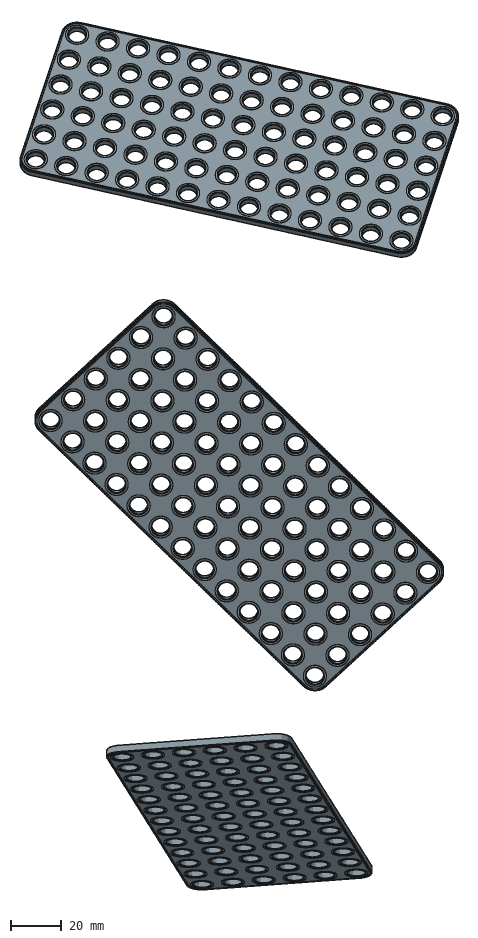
import cadquery as cq

length = 162.5
columns = 13
rows = 6
pitch = length / columns
width = rows * pitch
thickness = 3.1
corner_radius = pitch / 2
edge_chamfer = 0.3

hole_diameter = 7.0

rim_height = 0.2
border_rim_width = 0.8
hole_rim_width = 1.1
hole_rim_diameter = hole_diameter + 2 * hole_rim_width


def hole_grid(z=0.0):
    """Workplane at height z holding one point at the centre of every cell."""
    return cq.Workplane("XY", origin=(0, 0, z)).rarray(pitch, pitch, columns, rows)


def make_plate():
    """Rounded rectangular plate, chamfered around its top and bottom edges."""
    plate = cq.Workplane("XY").box(length, width, thickness)
    plate = plate.edges("|Z").fillet(corner_radius)
    return plate.faces("<Z or >Z").edges().chamfer(edge_chamfer)


def make_top_field():
    """Shallow layer inside the border rim, with the discs of the hole rims left out."""
    floor_z = thickness / 2 - rim_height
    field = (
        cq.Workplane("XY", origin=(0, 0, floor_z))
        .rect(length - 2 * border_rim_width, width - 2 * border_rim_width)
        .extrude(rim_height)
        .edges("|Z")
        .fillet(corner_radius - border_rim_width)
    )
    rim_discs = hole_grid(floor_z).circle(hole_rim_diameter / 2).extrude(rim_height)
    return field.cut(rim_discs)


def make_hole_cutter():
    """Through hole chamfered at both ends, centred on the origin."""
    bore_radius = hole_diameter / 2
    mouth_radius = bore_radius + edge_chamfer
    face_z = thickness / 2
    bore_end_z = face_z - edge_chamfer
    profile = [
        (0, -face_z),
        (mouth_radius, -face_z),
        (bore_radius, -bore_end_z),
        (bore_radius, bore_end_z),
        (mouth_radius, face_z),
        (0, face_z),
    ]
    return cq.Workplane("XZ").polyline(profile).close().revolve(360, (0, 0), (0, 1))


top_field = make_top_field()
bottom_field = top_field.mirror("XY")
hole_cutters = hole_grid().eachpoint(make_hole_cutter().val(), combine=False)

result = make_plate().cut(top_field).cut(bottom_field).cut(hole_cutters)